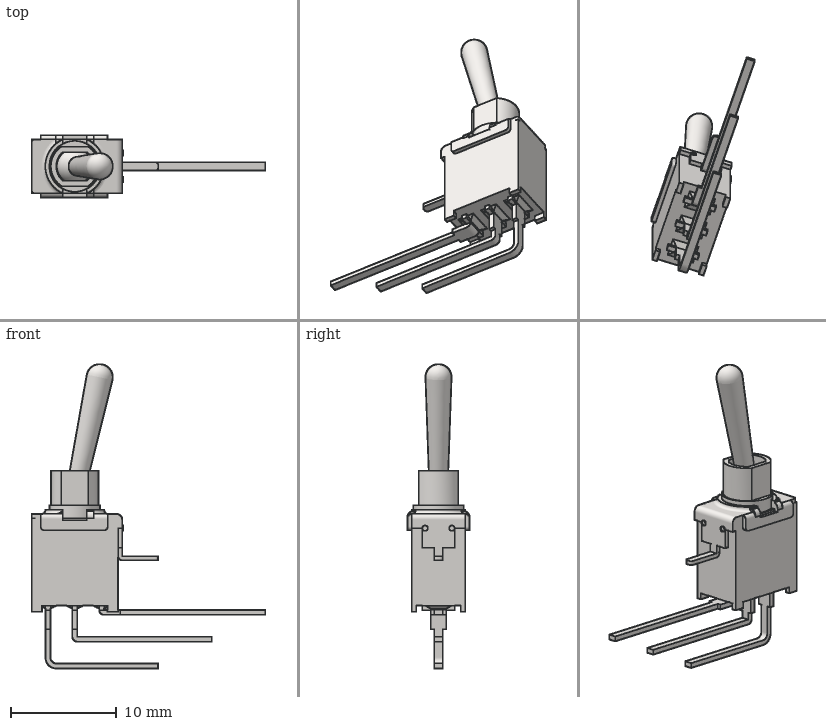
import cadquery as cq
import math


housing_length = 8.17
housing_width = 5.1
housing_bottom = -8.65
foot_length = 1.0
foot_width = 0.45
foot_height = 0.6

sheet = 0.4
cover_corner_radius = 0.3
tab_length = 6.33
tab_shift = -0.05
tab_bottom = -1.55
tab_bend_radius = 0.45
tab_corner_radius = 0.35
strap_bottom = -1.35
strap_bend_radius = 0.55
dimple_diameter = 0.52
dimple_height = 0.1
dimple_spacing = 2.53
notch_width = 2.27
notch_bottom = -0.6

collar_base_radius = 3.15
collar_top_radius = 2.8
collar_height = 0.4
ramp_end = 1.8
ramp_top = 0.25
ramp_bottom = -0.35
ramp_radius = 0.65

flange_diameter = 4.8
flange_top = 0.83
bushing_diameter = 4.52
bushing_flat_width = 3.75
bushing_top = 4.08
bore_diameter = 3.5
bore_flat_width = 2.7

lever_tilt = 12.0
pivot_height = 1.87
pivot_ball_diameter = 3.4
lever_base_diameter = 1.73
lever_tip_diameter = 2.5
lever_top = 14.15

pitch = 2.53
pin_thickness = 0.5
pin_width = 0.8
pin_shank_width = 1.5
pin_shank_length = 1.78
pin_head_width = 3.08
pin_head_height = 0.45
pin_lowest = -14.6
pin_longest_end = 18.0
long_bend_radius = 1.04
seal_length = 1.67
seal_width = 2.53
seal_height = 0.3
ground_pin_bottom = -4.4
ground_pin_step = -3.22
ground_pin_tip_radius = 0.3

half_length = housing_length / 2
half_width = housing_width / 2
tab_outer = half_width + sheet
strap_outer = half_length + sheet
pin_head_bottom = housing_bottom - pin_head_height
pin_ends = [pin_longest_end - 2 * pitch * i for i in (2, 1, 0)]


def block(x0, x1, y0, y1, z0, z1):
    """Box between two opposite corners."""
    return cq.Workplane("XY").box(x1 - x0, y1 - y0, z1 - z0, centered=False).translate((x0, y0, z0))


def flatted_cylinder(diameter, flat_width, z0, z1):
    """Vertical cylinder with two flats facing -Y and +Y."""
    cylinder = cq.Workplane("XY").workplane(offset=z0).circle(diameter / 2).extrude(z1 - z0)
    radius = diameter / 2
    return cylinder.intersect(block(-radius, radius, -flat_width / 2, flat_width / 2, z0, z1))


def bent_strip(x_left, x_end, z_top, z_bottom, thickness, width, outer_radius):
    """Strip that drops from z_top, then bends toward +X and runs to x_end."""
    strip = (
        cq.Workplane("XZ")
        .moveTo(x_left, z_top)
        .lineTo(x_left, z_bottom + outer_radius)
        .radiusArc((x_left + outer_radius, z_bottom), -outer_radius)
        .lineTo(x_end, z_bottom)
        .lineTo(x_end, z_bottom + thickness)
        .lineTo(x_left + thickness, z_bottom + thickness)
        .lineTo(x_left + thickness, z_top)
        .close()
        .extrude(width / 2, both=True)
    )
    inner_radius = outer_radius - thickness
    if inner_radius > 0:
        inner_corner = cq.selectors.NearestToPointSelector((x_left + thickness, 0, z_bottom + thickness))
        strip = strip.edges("|Y").edges(inner_corner).fillet(inner_radius)
    return strip


def make_housing():
    body = block(-half_length, half_length, -half_width, half_width, housing_bottom, -sheet)
    foot_bottom = housing_bottom - foot_height
    foot_x = half_length - foot_length / 2
    foot_y = half_width - foot_width / 2
    feet = (
        cq.Workplane("XY")
        .workplane(offset=foot_bottom)
        .rect(2 * foot_x, 2 * foot_y, forConstruction=True)
        .vertices()
        .rect(foot_length, foot_width)
        .extrude(foot_height)
    )
    return body.union(feet)


def make_collar():
    """Ring with a concave flare that meets the cover plate."""
    flare = collar_base_radius - collar_top_radius
    return (
        cq.Workplane("XZ")
        .moveTo(0, -sheet)
        .lineTo(collar_base_radius, -sheet)
        .lineTo(collar_base_radius, 0)
        .radiusArc((collar_top_radius, flare), flare)
        .lineTo(collar_top_radius, collar_height)
        .lineTo(0, collar_height)
        .close()
        .revolve(360, (0, 0), (0, 1))
        .intersect(block(-half_length, half_length, -half_width, half_width, -sheet, collar_height))
    )


def make_ramp():
    """Rounded ramp in the +X, +Y quadrant that carries the collar over the tab bend."""
    return (
        cq.Workplane("YZ")
        .moveTo(0, ramp_top)
        .lineTo(half_width, ramp_top)
        .radiusArc((tab_outer, ramp_bottom), ramp_radius)
        .lineTo(tab_outer, -sheet)
        .lineTo(0, -sheet)
        .close()
        .extrude(ramp_end)
    )


def make_cover():
    plate = block(-half_length, strap_outer, -half_width, half_width, -sheet, 0)
    plate = plate.edges("|Z and <X").fillet(cover_corner_radius)
    strap = block(half_length, strap_outer, -half_width, half_width, strap_bottom, 0)
    plate = plate.union(strap).edges("|Y and >X and >Z").fillet(strap_bend_radius)

    tabs = block(-tab_length / 2, tab_length / 2, -tab_outer, tab_outer, tab_bottom, 0)
    tabs = tabs.translate((tab_shift, 0, 0))
    tabs = tabs.edges("|X and >Z").fillet(tab_bend_radius)
    tabs = tabs.edges("|Y and <Z").fillet(tab_corner_radius)

    ramp = make_ramp()
    cover = plate.union(tabs).union(make_collar())
    cover = cover.union(ramp).union(ramp.mirror("XZ")).union(ramp.mirror("YZ"))
    notch_half = notch_width / 2
    return cover.cut(block(-notch_half, notch_half, -tab_outer, tab_outer, notch_bottom, collar_height))


def make_bushing():
    flange = cq.Workplane("XY").workplane(offset=-sheet).circle(flange_diameter / 2).extrude(flange_top + sheet)
    barrel = flatted_cylinder(bushing_diameter, bushing_flat_width, 0, bushing_top)
    bore = flatted_cylinder(bore_diameter, bore_flat_width, pivot_height, bushing_top)
    return flange.union(barrel).cut(bore)


def make_lever():
    tip_radius = lever_tip_diameter / 2
    length = (lever_top - tip_radius - pivot_height) / math.cos(math.radians(lever_tilt))
    lever = (
        cq.Workplane("XZ")
        .lineTo(lever_base_diameter / 2, 0)
        .lineTo(tip_radius, length)
        .radiusArc((0, length + tip_radius), -tip_radius)
        .close()
        .revolve(360, (0, 0), (0, 1))
        .rotate((0, 0, 0), (0, 1, 0), lever_tilt)
    )
    ball = cq.Workplane("XY").sphere(pivot_ball_diameter / 2)
    return lever.union(ball).translate((0, 0, pivot_height))


def make_switch_pin(x, x_end, z_bottom, bend_radius):
    """Stepped terminal: broad head, shank, then a narrow tail, with a sealing bead at the housing."""
    half_thickness = pin_thickness / 2
    strip_sizes = (x - half_thickness, x_end, housing_bottom, z_bottom, pin_thickness)
    tail = bent_strip(*strip_sizes, pin_width, bend_radius)
    shank_zone = block(
        x - half_thickness, x + pin_shank_length,
        -pin_shank_width / 2, pin_shank_width / 2,
        pin_head_bottom - pin_shank_length, housing_bottom,
    )
    shank = bent_strip(*strip_sizes, pin_shank_width, bend_radius).intersect(shank_zone)
    head = block(
        x - half_thickness, x + half_thickness,
        -pin_head_width / 2, pin_head_width / 2,
        pin_head_bottom, housing_bottom,
    )
    seal = (
        cq.Workplane("XY")
        .workplane(offset=housing_bottom)
        .center(x, 0)
        .rect(seal_length, seal_width)
        .workplane(offset=-seal_height)
        .rect(pin_thickness, pin_shank_width)
        .loft(combine=True)
    )
    return tail.union(shank).union(head).union(seal)


def make_ground_pin():
    """Terminal that continues the end strap of the cover."""
    tail = bent_strip(half_length, pin_ends[0], strap_bottom, ground_pin_bottom, sheet, pin_width, sheet)
    tail = tail.edges("|Z and >X").fillet(ground_pin_tip_radius)
    half_shank = pin_head_width / 2
    shank = block(half_length, strap_outer, -half_shank, half_shank, ground_pin_step, strap_bottom)
    dimples = (
        cq.Workplane("YZ")
        .workplane(offset=half_length)
        .center(0, strap_bottom)
        .pushPoints([(-dimple_spacing / 2, 0), (dimple_spacing / 2, 0)])
        .circle(dimple_diameter / 2)
        .extrude(sheet + dimple_height)
    )
    return tail.union(shank).union(dimples)


result = make_housing().union(make_cover()).union(make_bushing()).union(make_lever())
for i, bend_radius in enumerate((long_bend_radius, pin_thickness, pin_thickness)):
    pin = make_switch_pin((i - 1) * pitch, pin_ends[i], pin_lowest + i * pitch, bend_radius)
    result = result.union(pin)
result = result.union(make_ground_pin())